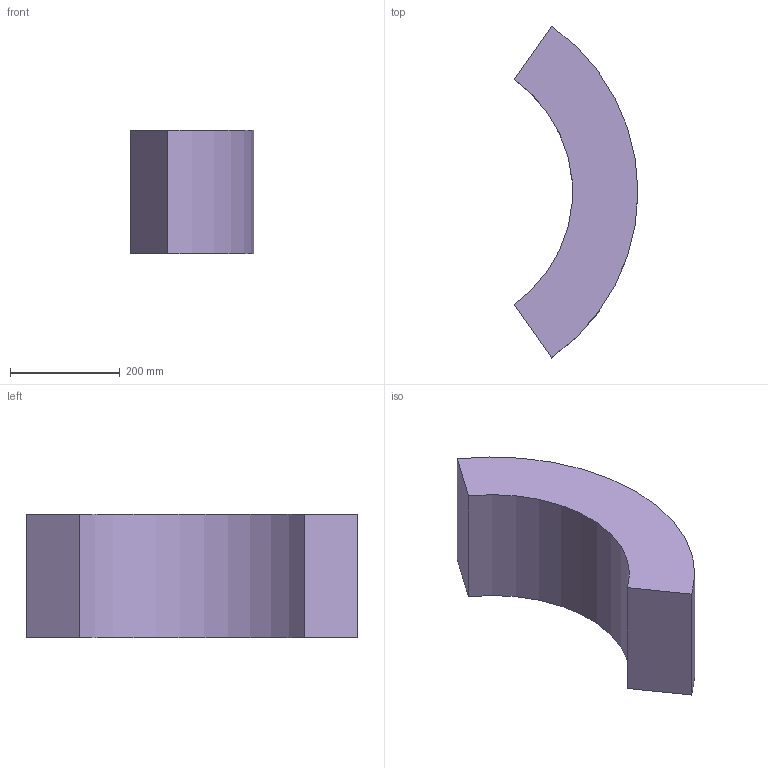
import cadquery as cq
import math

OUTER_RADIUS = 369.0
INNER_RADIUS = 250.0
HEIGHT = 225.0
SWEEP_ANGLE = 110.0

HALF_SWEEP = math.radians(SWEEP_ANGLE / 2)


def polar_point(radius, angle):
    """Point in the XY plane at a radius and angle (radians) about the ring axis."""
    return (radius * math.cos(angle), radius * math.sin(angle))


def ring_segment():
    """Rectangular-section ring segment with radial end faces."""
    return (
        cq.Workplane("XY")
        .moveTo(*polar_point(OUTER_RADIUS, -HALF_SWEEP))
        .threePointArc(polar_point(OUTER_RADIUS, 0), polar_point(OUTER_RADIUS, HALF_SWEEP))
        .lineTo(*polar_point(INNER_RADIUS, HALF_SWEEP))
        .threePointArc(polar_point(INNER_RADIUS, 0), polar_point(INNER_RADIUS, -HALF_SWEEP))
        .close()
        .extrude(HEIGHT)
    )


result = ring_segment()